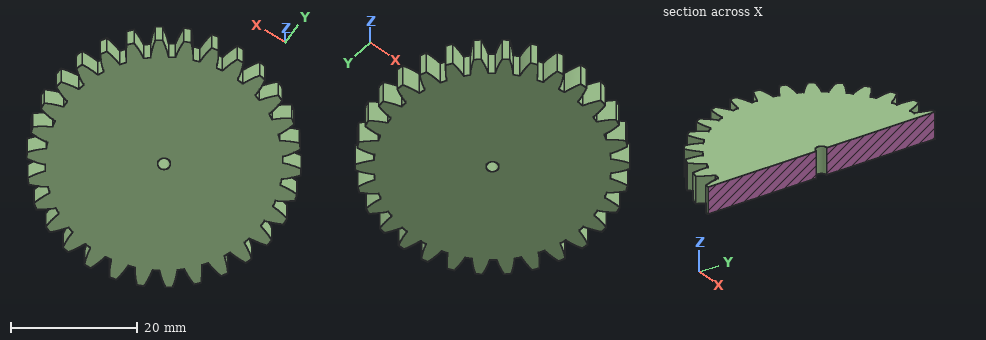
import cadquery as cq
import math

TOOTH_COUNT = 30
TIP_RADIUS = 21.795
MID_RADIUS = 20.4
ROOT_RADIUS = 18.85
THICKNESS = 5.0
BORE_DIAMETER = 2.0

TIP_SPAN = 3.16
MID_SPAN = 6.1
ROOT_SPAN = 8.75

PITCH_ANGLE = 360.0 / TOOTH_COUNT
FIRST_TOOTH_ANGLE = 90.0


def polar(radius, angle):
    """Point at a radius and an angle in degrees from +X."""
    return (radius * math.cos(math.radians(angle)), radius * math.sin(math.radians(angle)))


def add_tooth(outline, center):
    """Continue the outline over one tooth and the root gap that follows it."""
    tip_end = polar(TIP_RADIUS, center + TIP_SPAN / 2)
    root_end = polar(ROOT_RADIUS, center + ROOT_SPAN / 2)
    next_root_start = polar(ROOT_RADIUS, center + PITCH_ANGLE - ROOT_SPAN / 2)
    return (
        outline
        .threePointArc(polar(MID_RADIUS, center - MID_SPAN / 2), polar(TIP_RADIUS, center - TIP_SPAN / 2))
        .threePointArc(polar(TIP_RADIUS, center), tip_end)
        .threePointArc(polar(MID_RADIUS, center + MID_SPAN / 2), root_end)
        .threePointArc(polar(ROOT_RADIUS, center + PITCH_ANGLE / 2), next_root_start)
    )


def gear_blank():
    """Toothed disc resting on the XY plane."""
    outline = cq.Workplane("XY").moveTo(*polar(ROOT_RADIUS, FIRST_TOOTH_ANGLE - ROOT_SPAN / 2))
    for index in range(TOOTH_COUNT):
        outline = add_tooth(outline, FIRST_TOOTH_ANGLE + index * PITCH_ANGLE)
    return outline.close().extrude(THICKNESS)


def bore():
    """Cylinder that cuts the central through hole."""
    return cq.Workplane("XY").circle(BORE_DIAMETER / 2).extrude(THICKNESS)


result = gear_blank().cut(bore())